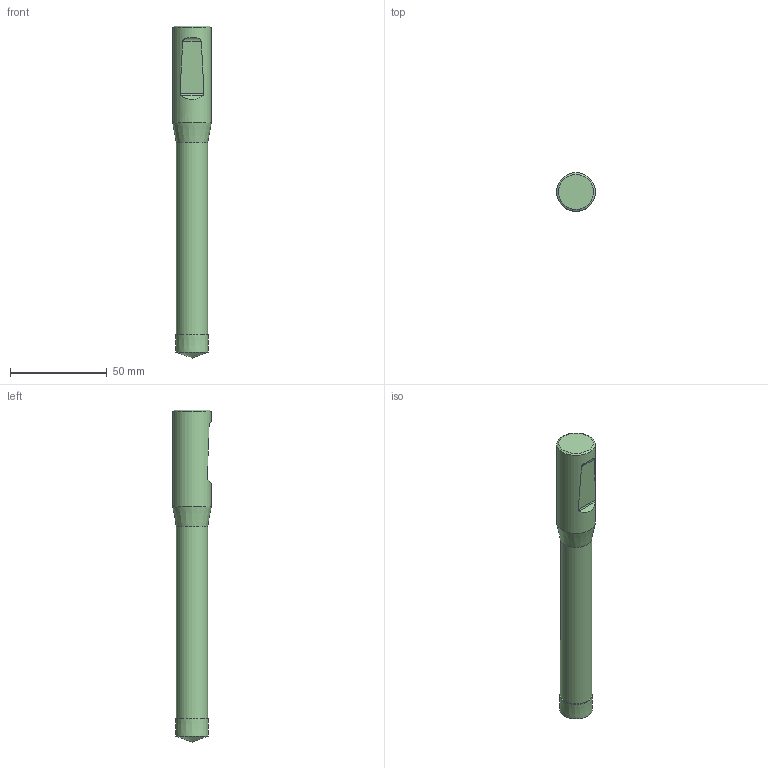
import cadquery as cq
import math

overall_length = 171.5

head_diameter = 17.0
head_back_diameter = 16.95
head_height = 12.3
point_angle = 140.0

body_diameter = 16.2
shank_diameter = 20.0
shank_length = 50.0
neck_length = 10.2
shank_end_face_diameter = 18.0
shank_end_chamfer_angle = 30.0

flat_upper_distance = 8.0
flat_lower_distance = 35.55
flat_lower_depth = 2.16
flat_slope = 2.0
upper_runout_length = 2.1
lower_ramp_angle = 42.0
lower_corner_radius = 1.2

head_radius = head_diameter / 2
head_back_radius = head_back_diameter / 2
body_radius = body_diameter / 2
shank_radius = shank_diameter / 2
shank_end_face_radius = shank_end_face_diameter / 2
point_height = head_radius / math.tan(math.radians(point_angle / 2))
shank_bottom = overall_length - shank_length
neck_bottom = shank_bottom - neck_length
end_chamfer_radial = shank_radius - shank_end_face_radius
end_chamfer_height = end_chamfer_radial * math.tan(math.radians(shank_end_chamfer_angle))


def revolve_about_z(half_section):
    """Revolve a closed (radius, Z) half section a full turn about the Z axis."""
    return half_section.close().revolve(360, (0, 0, 0), (0, 1, 0))


def make_cutting_head():
    """Conical point under a slightly back-tapered head."""
    return revolve_about_z(
        cq.Workplane("XZ")
        .moveTo(0, 0)
        .lineTo(head_radius, point_height)
        .lineTo(head_back_radius, head_height)
        .lineTo(0, head_height)
    )


def make_turned_holder():
    """Slender body, conical neck and thicker shank with a chamfered end."""
    return revolve_about_z(
        cq.Workplane("XZ")
        .moveTo(0, head_height)
        .lineTo(body_radius, head_height)
        .lineTo(body_radius, neck_bottom)
        .lineTo(shank_radius, shank_bottom)
        .lineTo(shank_radius, overall_length - end_chamfer_height)
        .lineTo(shank_end_face_radius, overall_length)
        .lineTo(0, overall_length)
    )


def make_flat_cutter():
    """Prism across X that removes the inclined clamping flat with its two runouts."""
    slope = math.radians(flat_slope)
    flat_length = flat_lower_distance - flat_upper_distance
    upper_depth = flat_lower_depth - flat_length * math.tan(slope)

    surface_y = -shank_radius
    lower_y = surface_y + flat_lower_depth
    lower_z = overall_length - flat_lower_distance
    upper_y = surface_y + upper_depth
    upper_z = overall_length - flat_upper_distance

    ramp_height = flat_lower_depth / math.tan(math.radians(lower_ramp_angle))
    half_width = shank_radius

    cutter = (
        cq.Workplane("YZ")
        .moveTo(surface_y, lower_z - ramp_height)
        .lineTo(lower_y, lower_z)
        .lineTo(upper_y, upper_z)
        .tangentArcPoint((surface_y, upper_z + upper_runout_length), relative=False)
        .close()
        .extrude(half_width, both=True)
    )
    lower_corner = cq.selectors.NearestToPointSelector((0, lower_y, lower_z))
    return cutter.edges("|X").edges(lower_corner).fillet(lower_corner_radius)


cutting_head = make_cutting_head()
holder = make_turned_holder().cut(make_flat_cutter())

result = cq.Compound.makeCompound([holder.val(), cutting_head.val()])